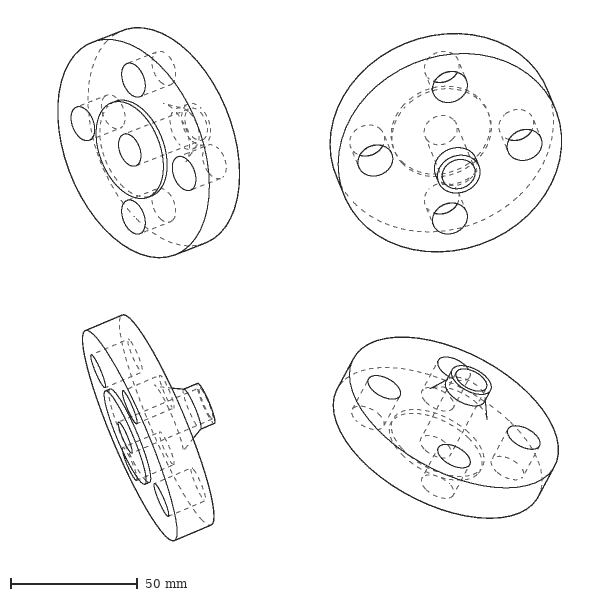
import cadquery as cq

flange_diameter = 90.0
flange_thickness = 16.0
raised_face_diameter = 40.0
raised_face_height = 2.0
bore_diameter = 13.3

overall_length = 35.0
neck_diameter = 17.2
neck_length = 6.0
hub_base_diameter = 28.8
hub_fillet_radius = 4.0

bolt_hole_count = 4
bolt_hole_diameter = 14.0
bolt_circle_diameter = 60.0

flange_front = raised_face_height
flange_back = flange_front + flange_thickness
neck_start = overall_length - neck_length
selection_margin = 0.1


def revolved_body():
    """Solid of revolution: raised face, flange disc, tapered hub and neck."""
    profile = (
        cq.Workplane("XY")
        .moveTo(0, 0)
        .lineTo(raised_face_diameter / 2, 0)
        .lineTo(raised_face_diameter / 2, flange_front)
        .lineTo(flange_diameter / 2, flange_front)
        .lineTo(flange_diameter / 2, flange_back)
        .lineTo(hub_base_diameter / 2, flange_back)
        .lineTo(neck_diameter / 2, neck_start)
        .lineTo(neck_diameter / 2, overall_length)
        .lineTo(0, overall_length)
        .close()
    )
    return profile.revolve(360, (0, 0, 0), (0, 1, 0))


def fillet_hub(body):
    """Blend the foot of the hub into the back of the flange disc."""
    hub_foot = cq.selectors.RadiusNthSelector(0)
    flange_back_face = body.faces(cq.selectors.BoxSelector(
        (-flange_diameter, flange_back - selection_margin, -flange_diameter),
        (flange_diameter, flange_back + selection_margin, flange_diameter)))
    return flange_back_face.edges(hub_foot).fillet(hub_fillet_radius)


def axial_cutters():
    """Through cylinders for the bore and the ring of bolt holes."""
    bore = cq.Workplane("XZ").circle(bore_diameter / 2).extrude(-overall_length)
    bolt_holes = (
        cq.Workplane("XZ")
        .polarArray(bolt_circle_diameter / 2, 0, 360, bolt_hole_count)
        .circle(bolt_hole_diameter / 2)
        .extrude(-overall_length)
    )
    return bore, bolt_holes


bore_cutter, bolt_hole_cutter = axial_cutters()
result = fillet_hub(revolved_body()).cut(bore_cutter).cut(bolt_hole_cutter)